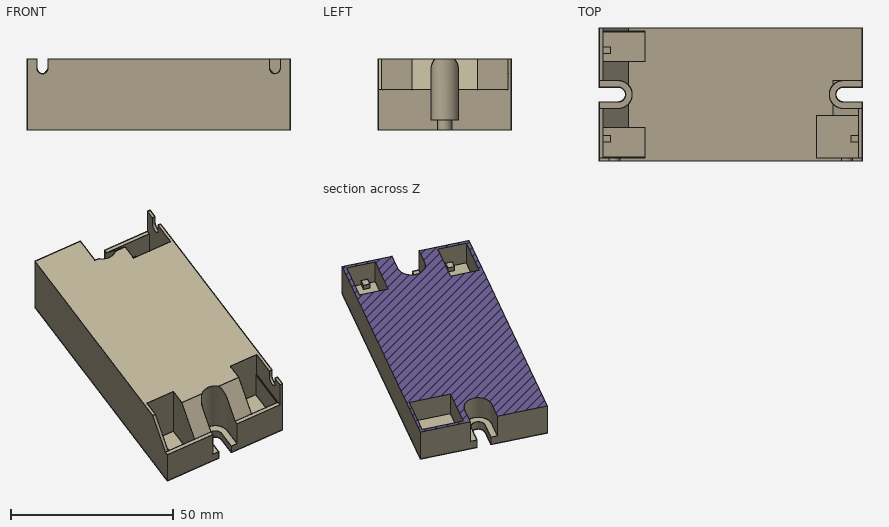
import cadquery as cq

LENGTH = 81.1
WIDTH = 41.0
HEIGHT = 22.0

END_WALL = 1.2
SIDE_WALL = 1.0
LIP_HEIGHT = 12.5
SLOPE_START = 9.0

SLOT_WIDTH = 4.5
SLOT_CENTER = 5.9
RELIEF_WIDTH = 8.6
BASE_THICKNESS = 3.1

POCKET_END = 14.2
LEFT_POCKET_WIDTH = 9.4
RIGHT_POCKET_WIDTH = 13.1
LEDGE_WIDTH = 0.3

BLOCK_LENGTH = 2.35
BLOCK_WIDTH = 2.1
BLOCK_HEIGHT = 1.6
BLOCK_Y = 13.6

NOTCH_WIDTH = 3.3
NOTCH_DEPTH = 4.55
NOTCH_CENTER = 4.8

X_END = LENGTH / 2
Y_SIDE = WIDTH / 2
Y_WALL = Y_SIDE - SIDE_WALL


def box(x_range, y_range, z_range):
    """Box between opposite limits on each axis; limits may come in either order."""
    (x0, x1), (y0, y1), (z0, z1) = (sorted(limits) for limits in (x_range, y_range, z_range))
    return cq.Workplane("XY").box(x1 - x0, y1 - y0, z1 - z0, centered=False).translate((x0, y0, z0))


def slope_cut(end, y_min, y_max):
    """Material above the lip and the slope; end is -1 for the -X end and +1 for the +X end."""
    lip_edge = X_END - END_WALL
    profile = [
        (end * X_END, LIP_HEIGHT),
        (end * lip_edge, LIP_HEIGHT),
        (end * (X_END - SLOPE_START), HEIGHT),
        (end * X_END, HEIGHT),
    ]
    cut = cq.Workplane("XZ").polyline(profile).close().extrude(y_min - y_max)
    return cut.translate((0, y_min, 0))


def open_slot(end, width, z_bottom):
    """Slot open at one end face, with a round inner end, from z_bottom up."""
    center = end * (X_END - SLOT_CENTER)
    straight = box((center, end * X_END), (-width / 2, width / 2), (z_bottom, HEIGHT))
    round_end = (
        cq.Workplane("XY", origin=(center, 0, z_bottom)).circle(width / 2).extrude(HEIGHT - z_bottom)
    )
    return straight.union(round_end)


def pocket(end, side, width, ledge):
    """Terminal pocket beside the side wall; side is the sign of Y."""
    x_range = (end * (X_END - END_WALL), end * (X_END - POCKET_END))
    y_inner = side * (Y_WALL - width)
    lower = box(x_range, (y_inner, side * (Y_WALL - ledge)), (BASE_THICKNESS, LIP_HEIGHT))
    upper = box(x_range, (y_inner, side * Y_WALL), (LIP_HEIGHT, HEIGHT))
    x_block = (end * (X_END - END_WALL), end * (X_END - END_WALL - BLOCK_LENGTH))
    y_block = (side * BLOCK_Y - BLOCK_WIDTH / 2, side * BLOCK_Y + BLOCK_WIDTH / 2)
    floor_block = box(x_block, y_block, (BASE_THICKNESS, BASE_THICKNESS + BLOCK_HEIGHT))
    return lower.union(upper).cut(floor_block)


def side_notch(end):
    """U notch through the -Y side wall, open at the top."""
    radius = NOTCH_WIDTH / 2
    x = end * (X_END - NOTCH_CENTER)
    z_center = HEIGHT - NOTCH_DEPTH + radius
    straight = box((x - radius, x + radius), (-Y_SIDE, -Y_WALL), (z_center, HEIGHT))
    round_end = cq.Workplane("XZ", origin=(x, -Y_WALL, z_center)).circle(radius).extrude(SIDE_WALL)
    return straight.union(round_end)


body = box((-X_END, X_END), (-Y_SIDE, Y_SIDE), (0, HEIGHT))

body = body.cut(slope_cut(-1, -Y_WALL, Y_SIDE))
body = body.cut(slope_cut(1, -Y_WALL, RELIEF_WIDTH / 2))

for side in (-1, 1):
    body = body.cut(pocket(-1, side, LEFT_POCKET_WIDTH, LEDGE_WIDTH))
body = body.cut(pocket(1, -1, RIGHT_POCKET_WIDTH, 0))

for end in (-1, 1):
    body = body.cut(open_slot(end, RELIEF_WIDTH, BASE_THICKNESS))
    body = body.cut(open_slot(end, SLOT_WIDTH, 0))
    body = body.cut(side_notch(end))

result = body